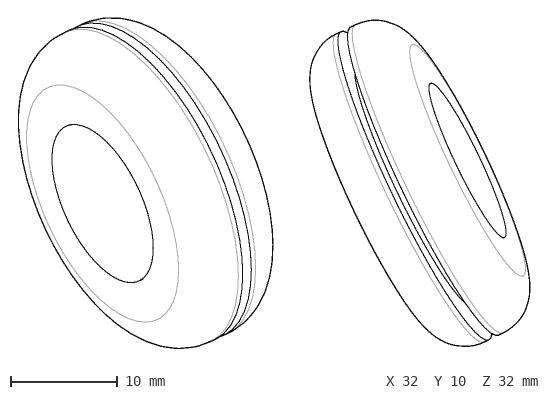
import cadquery as cq

outer_diameter = 32.0
bore_diameter = 16.0
groove_diameter = 25.0
width = 10.0
groove_width = 1.0
edge_radius = 4.0


def disc(diameter, thickness):
    """Disc on the Y axis, centred on the origin."""
    start_plane = cq.Workplane("XZ").workplane(offset=-thickness / 2)
    return start_plane.circle(diameter / 2).extrude(thickness)


def grommet_body():
    """Ring with a through bore and rounded outer rims."""
    rounded = disc(outer_diameter, width).edges("%CIRCLE").fillet(edge_radius)
    return rounded.cut(disc(bore_diameter, width))


def panel_groove():
    """Ring of material removed for the panel edge."""
    return disc(outer_diameter, groove_width).cut(disc(groove_diameter, groove_width))


result = grommet_body().cut(panel_groove())